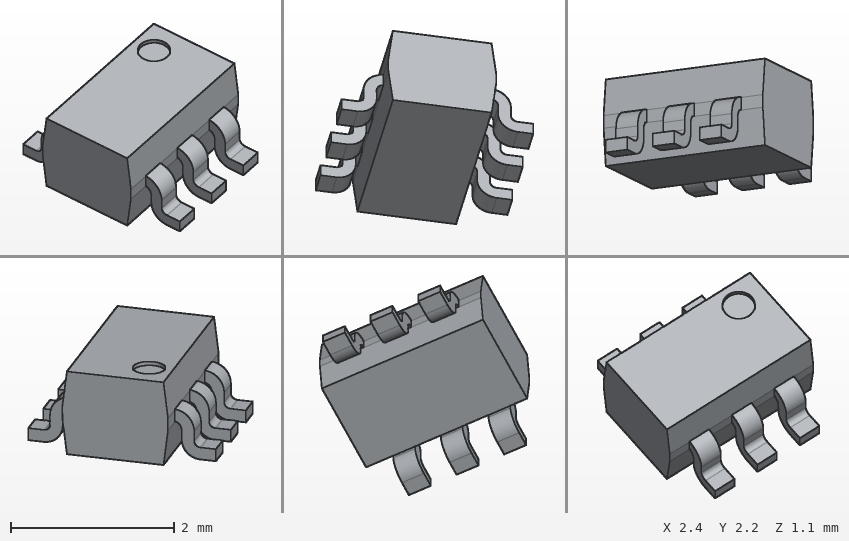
import cadquery as cq
import math

overall_length = 2.4
body_depth = 2.2
body_height = 1.1

body_width = 1.35
draft_angle = 7.0

mark_diameter = 0.4
mark_depth = 0.05
mark_edge_gap = 0.1
mark_back_gap = 0.2

lead_thickness = 0.16
lead_width = 0.3
lead_pitch = 0.65
leads_per_side = 3
foot_length = 0.2
foot_inner_radius = 0.08
shoulder_inner_radius = 0.1

half_width = body_width / 2
middle_z = body_height / 2
band_bottom = middle_z - lead_thickness / 2
band_top = middle_z + lead_thickness / 2
draft_inset = band_bottom * math.tan(math.radians(draft_angle))
half_top_width = half_width - draft_inset
foot_outer_radius = foot_inner_radius + lead_thickness
shoulder_outer_radius = shoulder_inner_radius + lead_thickness


def make_housing():
    """Barrel-sided block: a straight band between two drafted halves, with the round mark on top."""
    block = (
        cq.Workplane("XZ")
        .moveTo(-half_top_width, 0)
        .lineTo(half_top_width, 0)
        .lineTo(half_width, band_bottom)
        .lineTo(half_width, band_top)
        .lineTo(half_top_width, body_height)
        .lineTo(-half_top_width, body_height)
        .lineTo(-half_width, band_top)
        .lineTo(-half_width, band_bottom)
        .close()
        .extrude(body_depth / 2, both=True)
    )
    mark_radius = mark_diameter / 2
    mark_x = -half_top_width + mark_edge_gap + mark_radius
    mark_y = body_depth / 2 - mark_back_gap - mark_radius
    mark = (
        cq.Workplane("XY", origin=(mark_x, mark_y, body_height - mark_depth))
        .circle(mark_radius)
        .extrude(mark_depth)
    )
    return block.cut(mark)


def make_lead(side, center_y):
    """Gull-wing lead ending flat on the housing band; side is -1 for the left row and +1 for the right row."""
    tip_x = -overall_length / 2
    foot_end_x = tip_x + foot_length
    leg_outer_x = foot_end_x + foot_inner_radius
    leg_inner_x = leg_outer_x + lead_thickness
    leg_bottom_z = foot_outer_radius
    leg_top_z = band_top - shoulder_outer_radius
    shoulder_end_x = leg_outer_x + shoulder_outer_radius
    profile = (
        cq.Workplane("XZ", origin=(0, center_y, 0))
        .moveTo(tip_x, 0)
        .lineTo(foot_end_x, 0)
        .radiusArc((leg_inner_x, leg_bottom_z), -foot_outer_radius)
        .lineTo(leg_inner_x, leg_top_z)
        .radiusArc((shoulder_end_x, band_bottom), shoulder_inner_radius)
        .lineTo(shoulder_end_x, band_top)
        .radiusArc((leg_outer_x, leg_top_z), -shoulder_outer_radius)
        .lineTo(leg_outer_x, leg_bottom_z)
        .radiusArc((foot_end_x, lead_thickness), foot_inner_radius)
        .lineTo(tip_x, lead_thickness)
        .close()
    )
    lead = profile.extrude(lead_width / 2, both=True)
    if side > 0:
        lead = lead.mirror("YZ")
    housing_envelope = cq.Workplane("XY").box(
        body_width, body_depth, body_height, centered=(True, True, False)
    )
    return lead.cut(housing_envelope)


housing = make_housing()
leads = []
for side in (-1, 1):
    for index in range(leads_per_side):
        center_y = (index - (leads_per_side - 1) / 2) * lead_pitch
        leads.extend(make_lead(side, center_y).solids().vals())

result = cq.Compound.makeCompound([*housing.solids().vals(), *leads])